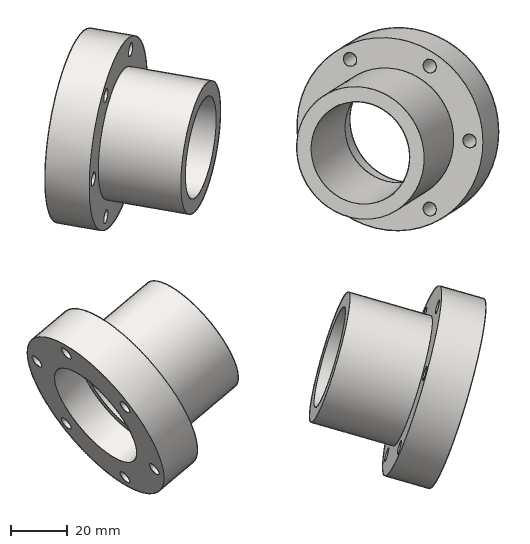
import cadquery as cq

flange_diameter = 70.0
flange_thickness = 16.45
hub_diameter = 48.0
total_length = 47.0

bore_diameter = 37.0
counterbore_diameter = 42.0
counterbore_depth = 12.0

bolt_hole_diameter = 5.0
bolt_circle_diameter = 60.0
bolt_count = 6


def cylinder_along_x(diameter, length):
    """Cylinder on the X axis, starting at the flange face (X = 0)."""
    return cq.Workplane("YZ").circle(diameter / 2).extrude(length)


def bolt_holes():
    """Ring of through holes, the first one on the +Y axis."""
    return (
        cq.Workplane("YZ")
        .polarArray(bolt_circle_diameter / 2, 0, 360, bolt_count)
        .circle(bolt_hole_diameter / 2)
        .extrude(flange_thickness)
    )


flange = cylinder_along_x(flange_diameter, flange_thickness)
hub = cylinder_along_x(hub_diameter, total_length)
bore = cylinder_along_x(bore_diameter, total_length)
counterbore = cylinder_along_x(counterbore_diameter, counterbore_depth)

result = flange.union(hub).cut(bore).cut(counterbore).cut(bolt_holes())